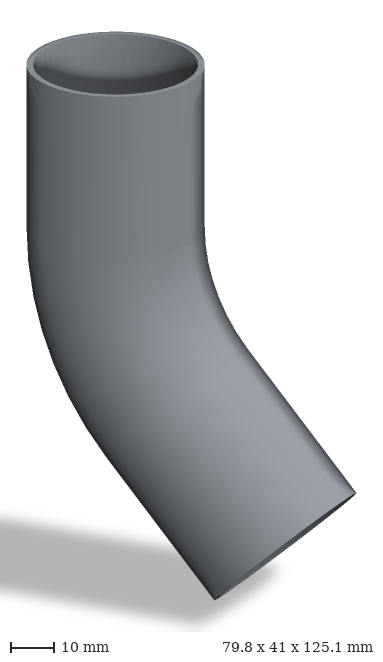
import cadquery as cq
import math

overall_height = 125.1
outer_diameter = 41.0
inner_diameter = 38.0
upper_leg_length = 40.0
bend_radius = 60.0
bend_angle = 43.0

angle = math.radians(bend_angle)

bend_drop = bend_radius * math.sin(angle)
rim_drop = outer_diameter / 2 * math.sin(angle)
lower_leg_length = (overall_height - upper_leg_length - bend_drop - rim_drop) / math.cos(angle)


def bend_point(turn):
    """Point on the bend centreline after turning by an angle in radians."""
    return (bend_radius * (1 - math.cos(turn)), -bend_radius * math.sin(turn))


bend_end = bend_point(angle)
lower_end = (
    bend_end[0] + lower_leg_length * math.sin(angle),
    bend_end[1] - lower_leg_length * math.cos(angle),
)
centreline = (
    cq.Workplane("XZ")
    .moveTo(0, upper_leg_length)
    .lineTo(0, 0)
    .threePointArc(bend_point(angle / 2), bend_end)
    .lineTo(*lower_end)
)

result = (
    cq.Workplane("XY", origin=(0, 0, upper_leg_length))
    .circle(outer_diameter / 2)
    .circle(inner_diameter / 2)
    .sweep(centreline)
)